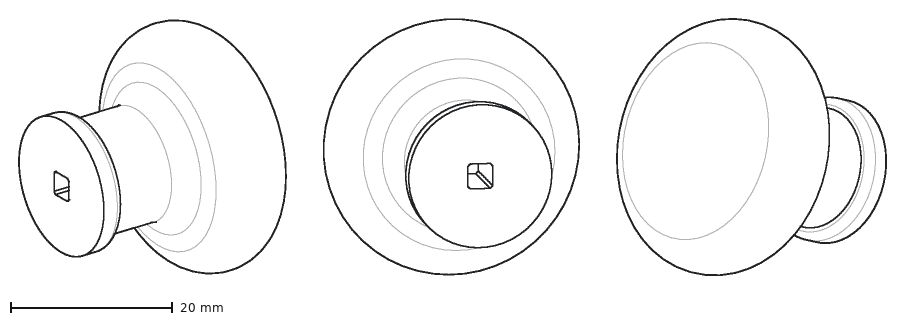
import cadquery as cq
import math


head_radius = 16.0
knob_length = 27.0
dome_radius = 39.98
rim_height = 20.0
underside_angle = math.radians(15.0)
stem_radius = 7.5
neck_fillet = 3.0
flange_radius = 9.0
flange_thickness = 3.0
flange_fillet = 1.0
socket_width = 3.15
socket_corner_diameter = 4.0
socket_depth = 10.0

dome_center_y = knob_length - dome_radius
rim_rise = rim_height - dome_center_y
rim_radius = (dome_radius**2 - head_radius**2 - rim_rise**2) / (2 * (dome_radius - head_radius))
rim_center_x = head_radius - rim_radius

neck_center_x = stem_radius + neck_fillet
center_offset_x = rim_center_x - neck_center_x
center_offset_y = (
    neck_fillet + rim_radius + center_offset_x * math.sin(underside_angle)
) / math.cos(underside_angle)
neck_center_y = rim_height - center_offset_y


def point_on_arc(center_x, center_y, radius, angle):
    """Point at the given angle, measured from +X toward +Y."""
    return (center_x + radius * math.cos(angle), center_y + radius * math.sin(angle))


def make_knob_body():
    """Half profile in the XY plane, revolved about the Y axis."""
    dome_angle = math.atan2(rim_rise, rim_center_x)
    crown_angle = (dome_angle + math.pi / 2) / 2
    underside_normal = underside_angle - math.pi / 2
    neck_end_angle = underside_angle + math.pi / 2
    neck_mid_angle = (neck_end_angle + math.pi) / 2
    flange_arc_x = flange_radius - flange_fillet
    flange_arc_y = flange_thickness - flange_fillet

    profile = (
        cq.Workplane("XY")
        .moveTo(0, 0)
        .lineTo(flange_radius, 0)
        .lineTo(flange_radius, flange_arc_y)
        .threePointArc(
            point_on_arc(flange_arc_x, flange_arc_y, flange_fillet, math.pi / 4),
            (flange_arc_x, flange_thickness),
        )
        .lineTo(stem_radius, flange_thickness)
        .lineTo(stem_radius, neck_center_y)
        .threePointArc(
            point_on_arc(neck_center_x, neck_center_y, neck_fillet, neck_mid_angle),
            point_on_arc(neck_center_x, neck_center_y, neck_fillet, neck_end_angle),
        )
        .lineTo(*point_on_arc(rim_center_x, rim_height, rim_radius, underside_normal))
        .threePointArc(
            (head_radius, rim_height),
            point_on_arc(rim_center_x, rim_height, rim_radius, dome_angle),
        )
        .threePointArc(
            point_on_arc(0, dome_center_y, dome_radius, crown_angle),
            (0, knob_length),
        )
        .close()
    )
    return profile.revolve(360, (0, 0, 0), (0, 1, 0))


def make_spindle_socket():
    """Square blind hole running along +Y, its corners rounded off by a circle about the knob axis."""
    square = cq.Workplane("XZ").rect(socket_width, socket_width).extrude(-socket_depth)
    corner_cylinder = cq.Workplane("XZ").circle(socket_corner_diameter / 2).extrude(-socket_depth)
    return square.intersect(corner_cylinder)


result = make_knob_body().cut(make_spindle_socket())